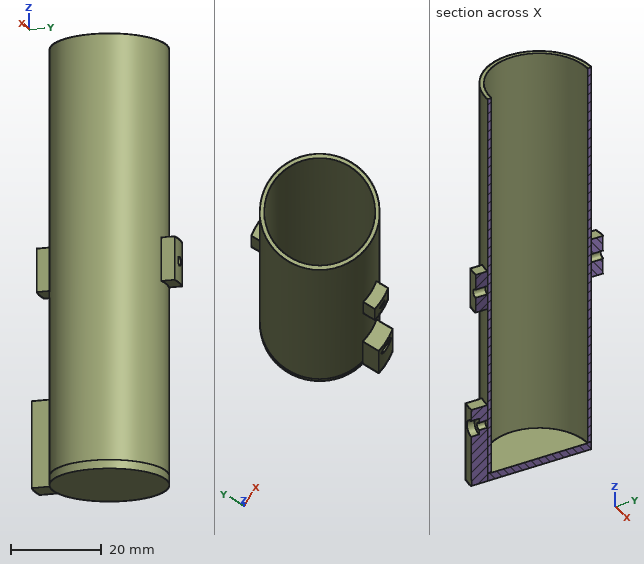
import cadquery as cq

length = 100.0
outer_diameter = 26.5
inner_diameter = 24.5
outer_radius = outer_diameter / 2
cap_thickness = 2.0

lug_width = 5.6
lug_height = 10.0
lug_center_z = 50.0
lug_reach = outer_radius + 3.0
lug_hole_diameter = 2.0

foot_width = 5.9
foot_height = 20.0
foot_reach = outer_radius + 4.1
foot_hole_z = 15.0
foot_hole_diameter = 1.8
counterbore_diameter = 4.0
counterbore_depth = 2.0


def cylinder(diameter, bottom, top):
    """Upright cylinder on the tube axis."""
    return cq.Workplane("XY", origin=(0, 0, bottom)).circle(diameter / 2).extrude(top - bottom)


def front_cylinder(diameter, z, reach, depth):
    """Cylinder running back along +Y from the plane Y = -reach."""
    return cq.Workplane("XZ", origin=(0, -reach, z)).circle(diameter / 2).extrude(-depth)


def front_bar(width, bottom, height, reach):
    """Bar on the front of the tube wall, its outer face rounded about the tube axis."""
    bar = cq.Workplane("XY").box(width, reach, height, centered=(True, False, False))
    bar = bar.translate((0, -reach, bottom))
    bar = bar.intersect(cylinder(2 * reach, bottom, bottom + height))
    return bar.cut(cylinder(outer_diameter, bottom, bottom + height))


def make_tube():
    return cylinder(outer_diameter, cap_thickness, length).cut(
        cylinder(inner_diameter, cap_thickness, length)
    )


def make_cap():
    return cylinder(outer_diameter, 0, cap_thickness)


def make_lug(angle):
    """Lug with a radial hole that ends at the tube wall, turned about the tube axis."""
    lug = front_bar(lug_width, lug_center_z - lug_height / 2, lug_height, lug_reach)
    lug = lug.cut(front_cylinder(lug_hole_diameter, lug_center_z, lug_reach, lug_reach))
    return lug.rotate((0, 0, 0), (0, 0, 1), angle)


def make_foot():
    """Foot with a counterbored hole that ends at the tube wall."""
    foot = front_bar(foot_width, 0, foot_height, foot_reach)
    foot = foot.cut(front_cylinder(foot_hole_diameter, foot_hole_z, foot_reach, foot_reach))
    return foot.cut(
        front_cylinder(counterbore_diameter, foot_hole_z, foot_reach, counterbore_depth)
    )


tube = make_tube()
cap = make_cap()
lugs = [make_lug(angle) for angle in (0, 180)]
foot = make_foot()

result = cq.Compound.makeCompound(
    [tube.val(), cap.val(), *[lug.val() for lug in lugs], foot.val()]
)